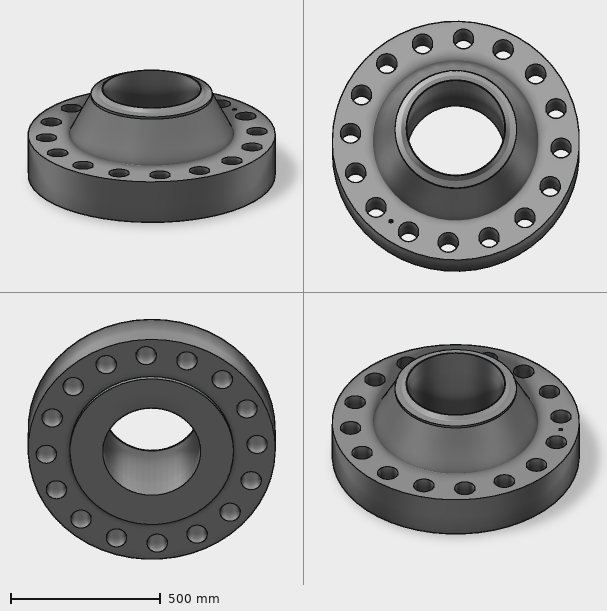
import cadquery as cq
import math

flange_dia = 825.0
flange_thickness = 147.0
face_dia = 546.0
face_height = 17.0

neck_base_dia = 552.0
neck_end_dia = 406.0
neck_land_height = 8.0
neck_base_fillet = 2.5
total_height = 328.5
bore_dia = 327.0
root_face_dia = 332.0
bevel_dia = 363.0
bevel_height = 13.0
shoulder_drop = 3.0
bevel_fillet = 5.0

bolt_count = 16
bolt_circle_dia = 705.0
bolt_hole_dia = 68.0

small_hole_dia = 12.0
small_hole_depth = 25.0

ring_tolerance = 0.4

flange_top = face_height + flange_thickness
bevel_bottom = total_height - bevel_height
land_top = bevel_bottom - shoulder_drop
land_bottom = land_top - neck_land_height
bolt_pitch_angle = 360 / bolt_count


def ring_at(diameter, height):
    """Select the circular edge of the given diameter centred on Z at the given height."""
    reach = diameter / 2 + ring_tolerance
    return cq.selectors.BoxSelector(
        (-reach, -reach, height - ring_tolerance),
        (reach, reach, height + ring_tolerance),
        boundingbox=True,
    )


def make_body():
    """Revolve the half section about Z, leaving the bore open, then blend the inner corners."""
    section = [
        (bore_dia / 2, 0),
        (face_dia / 2, 0),
        (face_dia / 2, face_height),
        (flange_dia / 2, face_height),
        (flange_dia / 2, flange_top),
        (neck_base_dia / 2, flange_top),
        (neck_end_dia / 2, land_bottom),
        (neck_end_dia / 2, land_top),
        (bevel_dia / 2, bevel_bottom),
        (root_face_dia / 2, total_height),
        (bore_dia / 2, total_height),
    ]
    body = cq.Workplane("XZ").polyline(section).close().revolve(360, (0, 0), (0, 1))
    body = body.edges(ring_at(neck_base_dia, flange_top)).fillet(neck_base_fillet)
    return body.edges(ring_at(bevel_dia, bevel_bottom)).fillet(bevel_fillet)


def make_bolt_holes():
    """Through holes evenly spaced on the bolt circle, one of them on +X."""
    return (
        cq.Workplane("XY")
        .polarArray(bolt_circle_dia / 2, 0, 360, bolt_count)
        .circle(bolt_hole_dia / 2)
        .extrude(flange_top)
    )


def make_small_hole():
    """Blind hole on the bolt circle, half a pitch past +Y towards -X."""
    angle = math.radians(90 + bolt_pitch_angle / 2)
    pitch_radius = bolt_circle_dia / 2
    return (
        cq.Workplane("XY", origin=(0, 0, flange_top - small_hole_depth))
        .center(pitch_radius * math.cos(angle), pitch_radius * math.sin(angle))
        .circle(small_hole_dia / 2)
        .extrude(small_hole_depth)
    )


result = make_body().cut(make_bolt_holes()).cut(make_small_hole())